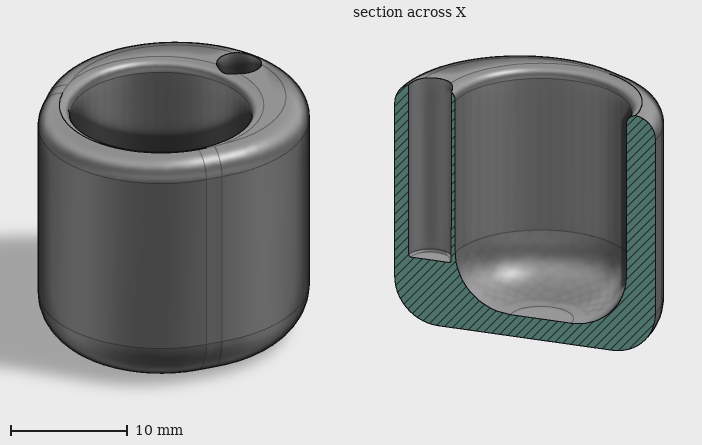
import cadquery as cq
import math

height = 22.0
length = 23.87
back_radius = 11.4
bore_offset = 1.95
front_radius = length - back_radius - bore_offset
waist_radius = 50.13
top_round = 2.0
bottom_round = 4.0

bore_radius = 15.6 / 2
rim_round = 1.0
bowl_round = 5.01
floor_thickness = 2.0

pin_diameter = 3.85
pin_offset = 8.16
pin_depth = 16.0
pin_floor_round = 0.2


def waist_points():
    """Right-hand start, middle and end of the arc tangent to both lobes."""
    to_back = back_radius + waist_radius
    to_front = front_radius + waist_radius
    center_y = (to_front**2 - to_back**2 - bore_offset**2) / (2 * bore_offset)
    center_x = math.sqrt(to_back**2 - center_y**2)
    back_share = back_radius / to_back
    front_share = front_radius / to_front
    start = (center_x * back_share, center_y * back_share)
    end = (
        center_x * front_share,
        -bore_offset + (center_y + bore_offset) * front_share,
    )
    start_angle = math.atan2(start[1] - center_y, start[0] - center_x)
    end_angle = math.atan2(end[1] - center_y, end[0] - center_x)
    middle_angle = (start_angle + end_angle) / 2
    middle = (
        center_x + waist_radius * math.cos(middle_angle),
        center_y + waist_radius * math.sin(middle_angle),
    )
    return start, middle, end


def mirrored(point):
    return (-point[0], point[1])


def make_body():
    start, middle, end = waist_points()
    outline = (
        cq.Workplane("XY")
        .moveTo(*mirrored(start))
        .threePointArc((0, back_radius), start)
        .threePointArc(middle, end)
        .threePointArc((0, -bore_offset - front_radius), mirrored(end))
        .threePointArc(mirrored(middle), mirrored(start))
        .close()
    )
    body = outline.extrude(height)
    body = body.faces(">Z").edges().fillet(top_round)
    return body.faces("<Z").edges().fillet(bottom_round)


def make_cup():
    """Revolved cutter with a rounded floor and a flared, rounded rim."""
    diagonal = math.sqrt(0.5)
    rim_radius = bore_radius + rim_round
    floor_radius = bore_radius - bowl_round
    bowl_top = floor_thickness + bowl_round
    bowl_middle = (floor_radius + bowl_round * diagonal, bowl_top - bowl_round * diagonal)
    rim_bottom = height - rim_round
    rim_middle = (rim_radius - rim_round * diagonal, rim_bottom + rim_round * diagonal)
    return (
        cq.Workplane("XZ")
        .moveTo(0, floor_thickness)
        .lineTo(floor_radius, floor_thickness)
        .threePointArc(bowl_middle, (bore_radius, bowl_top))
        .lineTo(bore_radius, rim_bottom)
        .threePointArc(rim_middle, (rim_radius, height))
        .lineTo(0, height)
        .close()
        .revolve(360, (0, 0), (0, 1))
        .translate((0, -bore_offset, 0))
    )


def make_pin_hole():
    return (
        cq.Workplane("XY", origin=(0, pin_offset, height - pin_depth))
        .circle(pin_diameter / 2)
        .extrude(pin_depth)
        .faces("<Z")
        .edges()
        .fillet(pin_floor_round)
    )


result = make_body().cut(make_cup()).cut(make_pin_hole())